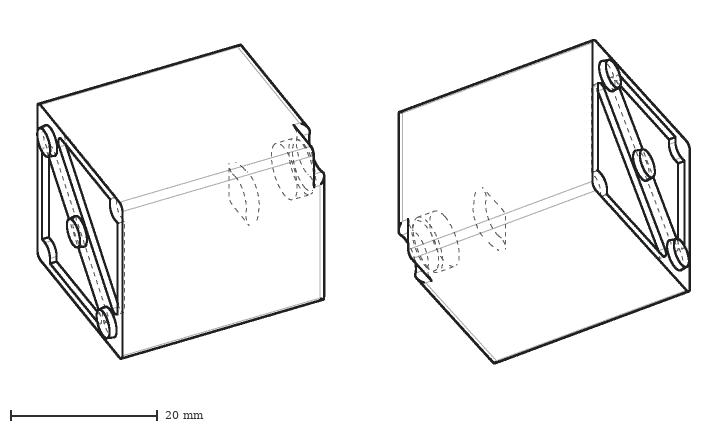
import cadquery as cq
import math

total_length = 35
width = 26.5
half_width = width / 2
side_edge_radius = 0.95
back_edge_radius = 1.05

pin_height = 0.98
pin_base_diameter = 4.38
pin_tip_diameter = 4.05
pin_offset = 9.25
knob_diameter = 8.0
knob_height = 3.0
knob_chamfer = 0.4

body_length = total_length - pin_height - knob_height

pocket_depth = 1.0
pocket_wall = 1.47
pocket_corner_radius = 1.0
band_half_width = 2.55
boss_diameter = 3.2
corner_axis_inset = 2.35

notch_depth = 1.95
notch_radius = 3.1
notch_lip_radius = 1.1


def front_plane(y):
    """Plane with local X and Y along global X and Z, and its normal along -Y."""
    return cq.Workplane("XZ", origin=(0, y, 0))


def both_corners(shape):
    """The +X +Z corner shape and its copy in the -X -Z corner."""
    return shape, shape.rotate((0, 0, 0), (0, 1, 0), 180)


def make_body():
    block = front_plane(body_length).rect(width, width).extrude(body_length)
    rounded_sides = block.edges("|Y").fillet(side_edge_radius)
    rounded_x_edges = block.faces(">Y").edges("|X").fillet(back_edge_radius)
    rounded_z_edges = block.faces(">Y").edges("|Z").fillet(back_edge_radius)
    return rounded_sides.intersect(rounded_x_edges).intersect(rounded_z_edges)


def make_pocket():
    outer = half_width - pocket_wall
    inner = math.sqrt(2) * band_half_width - outer
    triangle = (
        front_plane(pocket_depth)
        .polyline([(inner, outer), (outer, outer), (outer, inner)])
        .close()
        .extrude(pocket_depth)
    )
    triangle = triangle.edges("|Y").edges("<X or >X and <Z").fillet(pocket_corner_radius)

    boss_center = half_width - corner_axis_inset
    boss_start = boss_center - boss_diameter / 2
    boss_size = half_width - boss_start
    boss = (
        front_plane(pocket_depth)
        .center(boss_start, boss_start)
        .rect(boss_size, boss_size, centered=False)
        .extrude(pocket_depth)
        .edges("|Y and <X and <Z")
        .fillet(boss_diameter / 2)
    )
    return triangle.cut(boss)


def make_notch():
    """Round notch about the boss axis, opening through rounded lips onto both sides."""
    axis = half_width - corner_axis_inset
    lip_height = half_width - notch_lip_radius
    center_distance = notch_radius + notch_lip_radius
    lip_angle = math.asin((lip_height - axis) / center_distance)
    lip_center = axis - center_distance * math.cos(lip_angle)

    junction_low = axis - notch_radius * math.cos(lip_angle)
    junction_high = axis + notch_radius * math.sin(lip_angle)
    notch_middle = axis - notch_radius / math.sqrt(2)
    lip_middle_angle = (math.pi / 2 - lip_angle) / 2
    lip_middle_low = lip_center + notch_lip_radius * math.cos(lip_middle_angle)
    lip_middle_high = lip_height + notch_lip_radius * math.sin(lip_middle_angle)
    return (
        front_plane(body_length)
        .moveTo(lip_center, half_width)
        .threePointArc((lip_middle_low, lip_middle_high), (junction_low, junction_high))
        .threePointArc((notch_middle, notch_middle), (junction_high, junction_low))
        .threePointArc((lip_middle_high, lip_middle_low), (half_width, lip_center))
        .lineTo(half_width, half_width)
        .close()
        .extrude(notch_depth)
    )


def make_pin(position):
    taper = math.degrees(math.atan((pin_base_diameter - pin_tip_diameter) / 2 / pin_height))
    x, z = position
    return front_plane(0).center(x, z).circle(pin_base_diameter / 2).extrude(pin_height, taper=taper)


def make_knob():
    knob = front_plane(body_length).circle(knob_diameter / 2).extrude(-knob_height)
    return knob.faces(">Y").chamfer(knob_chamfer)


result = make_body()
for corner_cut in (*both_corners(make_pocket()), *both_corners(make_notch())):
    result = result.cut(corner_cut)
for pin_position in [(-pin_offset, pin_offset), (0, 0), (pin_offset, -pin_offset)]:
    result = result.union(make_pin(pin_position))
result = result.union(make_knob())